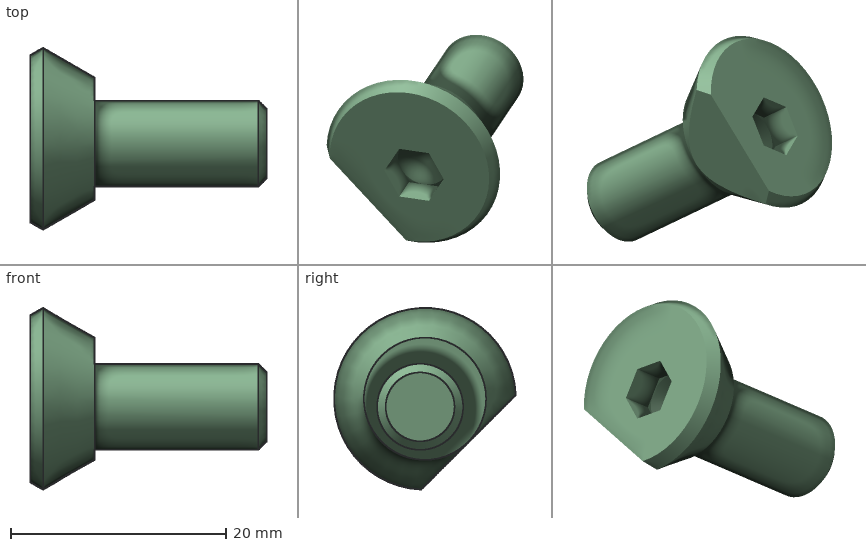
import cadquery as cq
import math

total_length = 22.0
head_length = 6.0
rim_position = 1.2

rim_radius = 8.45
head_cone_angle = 30.0
head_slope = math.tan(math.radians(head_cone_angle))
face_radius = rim_radius - rim_position * head_slope
neck_radius = rim_radius - (head_length - rim_position) * head_slope

head_y = 0.45
head_z = 0.75

flat_distance = 5.5
flat_angle = -45.0

shank_diameter = 8.0
shank_radius = shank_diameter / 2
tip_chamfer = 0.8

socket_across_flats = 5.0
socket_radius = socket_across_flats / 2
socket_depth = 3.0
drill_point_angle = 120.0
drill_point_depth = socket_radius / math.tan(math.radians(drill_point_angle / 2))


def make_head():
    """Double-cone head, offset from the screw axis and cut by one flat."""
    profile = [
        (0, 0),
        (0, face_radius),
        (rim_position, rim_radius),
        (head_length, neck_radius),
        (head_length, 0),
    ]
    head = cq.Workplane("XY").polyline(profile).close().revolve(360, (0, 0, 0), (1, 0, 0))
    head = head.translate((0, head_y, head_z))
    cutter_size = 4 * rim_radius
    cutter = (
        cq.Workplane("XY")
        .box(cutter_size, cutter_size, cutter_size)
        .translate((0, flat_distance + cutter_size / 2, 0))
        .rotate((0, 0, 0), (1, 0, 0), flat_angle)
    )
    return head.cut(cutter)


def make_shank():
    """Cylindrical shank on the screw axis with a chamfered tip."""
    shank_length = total_length - head_length
    return (
        cq.Workplane("YZ", origin=(head_length, 0, 0))
        .circle(shank_radius)
        .extrude(shank_length)
        .faces(">X")
        .chamfer(tip_chamfer)
    )


def make_socket():
    """Hexagonal prism with corners along Y, ending in a drill-point cone."""
    across_corners = socket_across_flats / math.cos(math.pi / 6)
    hexagon = cq.Workplane("YZ").polygon(6, across_corners).extrude(socket_depth)
    drill_profile = [
        (socket_depth, 0),
        (socket_depth, socket_radius),
        (socket_depth + drill_point_depth, 0),
    ]
    drill_point = (
        cq.Workplane("XY").polyline(drill_profile).close().revolve(360, (0, 0, 0), (1, 0, 0))
    )
    return hexagon.union(drill_point)


result = make_head().union(make_shank()).cut(make_socket())